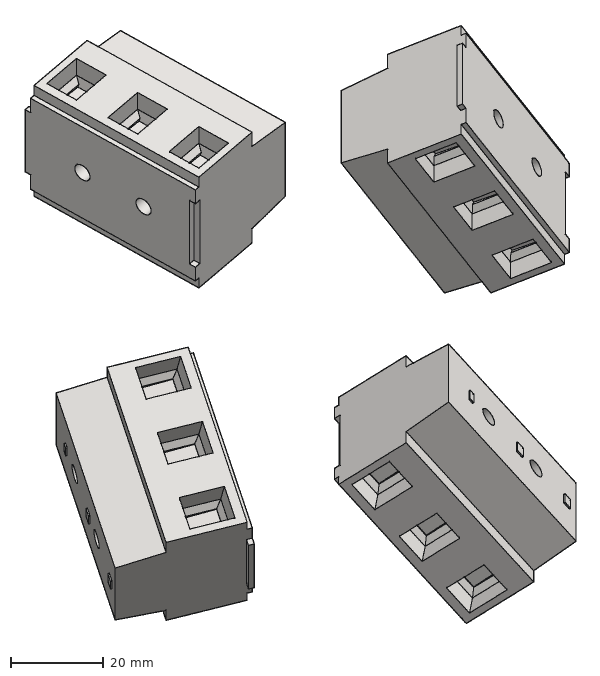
import cadquery as cq
import math


total_length = 47.5
tab_length = 1.5
body_length = total_length - tab_length
half_height = 33.0 / 2
foot_depth = 1.2
foot_inset = 2.95
shoulder_y = 19.48
shoulder_inset = 4.25
taper_angle = 6.3
back_y = 30.95

tab_height = 18.52
tab_thickness = 1.35
recess_height = 18.9
recess_length = 1.65
recess_depth = 1.5

pole_count = 3
pole_pitch = 17.05
body_middle_x = tab_length + body_length / 2
pole_xs = [body_middle_x + (i - (pole_count - 1) / 2) * pole_pitch for i in range(pole_count)]
mount_hole_diameter = 4.25

pocket_width = 8.25
pocket_front_y = 3.4
pocket_back_y = 13.6
entry_depth = 5.0
front_wall_run = 0.8
funnel_depth = 1.35
funnel_back_angle = 59.0
funnel_back_run = funnel_depth / math.tan(math.radians(funnel_back_angle))
floor_drop_front = 0.25
floor_drop_back = 0.55

mark_thickness = 0.35
mark_height = 3.25
mark_widths = [2.1, 2.1, 1.3]
mark_offsets = [-2.45, -2.45, -2.05]


def box(x_start, x_size, y_start, y_size, height):
    """Box centred on Z = 0."""
    return (
        cq.Workplane("XY")
        .box(x_size, y_size, height, centered=(False, False, True))
        .translate((x_start, y_start, 0))
    )


def make_housing():
    foot_z = half_height - foot_inset
    taper_start_z = half_height - shoulder_inset
    taper_end_z = taper_start_z - (back_y - shoulder_y) * math.tan(math.radians(taper_angle))
    upper_outline = [
        (0, foot_z),
        (foot_depth, foot_z),
        (foot_depth, half_height),
        (shoulder_y, half_height),
        (shoulder_y, taper_start_z),
        (back_y, taper_end_z),
    ]
    lower_outline = [(y, -z) for y, z in reversed(upper_outline)]
    return (
        cq.Workplane("YZ")
        .workplane(offset=tab_length)
        .polyline(upper_outline + lower_outline)
        .close()
        .extrude(body_length)
    )


def side_prism(points, width, pole_x):
    """Prism of a Y-Z outline, centred on the pole."""
    return (
        cq.Workplane("YZ")
        .workplane(offset=pole_x - width / 2)
        .polyline(points)
        .close()
        .extrude(width)
    )


def make_pocket(pole_x):
    """Pocket in the +Z face: straight entry, four-sided funnel and sloping floor."""
    rim_z = half_height - entry_depth
    rim_front_y = pocket_front_y + front_wall_run
    throat_z = rim_z - funnel_depth
    throat_front_y = rim_front_y + funnel_depth
    throat_back_y = pocket_back_y - funnel_back_run
    rim_middle_y = (rim_front_y + pocket_back_y) / 2
    throat_middle_y = (throat_front_y + throat_back_y) / 2
    throat_width = pocket_width - 2 * funnel_depth
    floor_back_run = floor_drop_back / math.tan(math.radians(funnel_back_angle))

    entry = side_prism(
        [
            (pocket_front_y, half_height),
            (pocket_back_y, half_height),
            (pocket_back_y, rim_z),
            (rim_front_y, rim_z),
        ],
        pocket_width,
        pole_x,
    )
    funnel = (
        cq.Workplane("XY")
        .workplane(offset=rim_z)
        .center(pole_x, rim_middle_y)
        .rect(pocket_width, pocket_back_y - rim_front_y)
        .workplane(offset=-funnel_depth)
        .center(0, throat_middle_y - rim_middle_y)
        .rect(throat_width, throat_back_y - throat_front_y)
        .loft(ruled=True)
    )
    floor = side_prism(
        [
            (throat_front_y, throat_z),
            (throat_back_y, throat_z),
            (throat_back_y - floor_back_run, throat_z - floor_drop_back),
            (throat_front_y, throat_z - floor_drop_front),
        ],
        throat_width,
        pole_x,
    )
    return entry.union(funnel).union(floor)


def make_mount_hole(hole_x):
    return (
        cq.Workplane("XZ")
        .center(hole_x, 0)
        .circle(mount_hole_diameter / 2)
        .extrude(-back_y)
    )


result = make_housing()

result = result.union(box(0, tab_length, 0, tab_thickness, tab_height))
result = result.cut(box(total_length - recess_length, recess_length, 0, recess_depth, recess_height))

for pole_x in pole_xs:
    pocket = make_pocket(pole_x)
    result = result.cut(pocket).cut(pocket.mirror("XY"))

for pole_x in pole_xs[:-1]:
    result = result.cut(make_mount_hole(pole_x + pole_pitch / 2))

for pole_x, mark_width, mark_offset in zip(pole_xs, mark_widths, mark_offsets):
    mark_start = pole_x + mark_offset - mark_width / 2
    result = result.union(box(mark_start, mark_width, back_y, mark_thickness, mark_height))